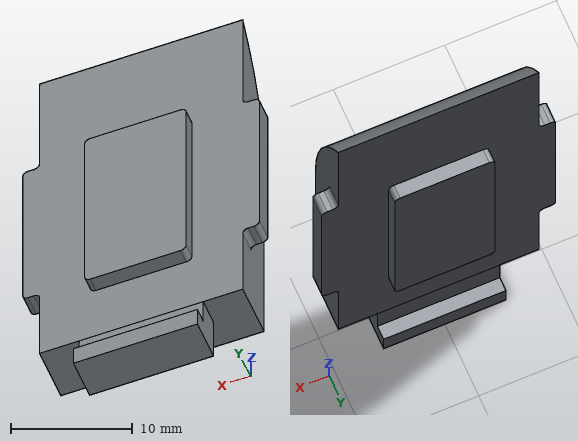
import cadquery as cq
import math

TOTAL_HEIGHT = 40.85
TOTAL_WIDTH = 21.0
TOTAL_DEPTH = 6.0

BOLT_WIDTH = 18.0
BOLT_BOTTOM = 4.55
CURVE_HEIGHT = 13.85
BACK_STEP = 1.25
BOLT_DEPTH = TOTAL_DEPTH - BACK_STEP
CORNER_RADIUS = 0.5

TAB_THICKNESS = 1.85
TAB_HEIGHT = 17.05
TAB_TOP = 29.58

PAD_WIDTH = 9.0
PAD_HEIGHT = 18.95
PAD_TOP = TAB_TOP

FOOT_WIDTH = 11.0
FOOT_THICKNESS = 2.33
HOOK_HEIGHT = 1.95


def make_wedge():
    """Block with a front arc that leaves the flat front face tangentially."""
    curve_start = TOTAL_HEIGHT - CURVE_HEIGHT
    radius = (CURVE_HEIGHT**2 + BOLT_DEPTH**2) / (2 * BOLT_DEPTH)
    half_angle = math.asin(CURVE_HEIGHT / radius) / 2
    arc_middle = (
        -BOLT_DEPTH + radius * (1 - math.cos(half_angle)),
        curve_start + radius * math.sin(half_angle),
    )
    return (
        cq.Workplane("YZ")
        .moveTo(0, BOLT_BOTTOM)
        .lineTo(-BOLT_DEPTH, BOLT_BOTTOM)
        .lineTo(-BOLT_DEPTH, curve_start)
        .threePointArc(arc_middle, (0, TOTAL_HEIGHT))
        .close()
        .extrude(BOLT_WIDTH / 2, both=True)
    )


def make_tab_plate():
    """Plate through the bolt whose ends are the two tabs, blended into the bolt sides."""
    tab_middle = TAB_TOP - TAB_HEIGHT / 2
    core_height = TAB_HEIGHT + 4 * CORNER_RADIUS
    core = cq.Workplane("XY").box(BOLT_WIDTH, TAB_THICKNESS, core_height)
    tabs = cq.Workplane("XY").box(TOTAL_WIDTH, TAB_THICKNESS, TAB_HEIGHT)
    outer_corners = cq.selectors.BoxSelector(
        (-TOTAL_WIDTH, -TAB_THICKNESS, -TAB_HEIGHT / 2 - CORNER_RADIUS),
        (TOTAL_WIDTH, TAB_THICKNESS, TAB_HEIGHT / 2 + CORNER_RADIUS),
    )
    plate = core.union(tabs).edges("|Y").edges(outer_corners).fillet(CORNER_RADIUS)
    return plate.translate((0, -TAB_THICKNESS / 2, tab_middle))


def make_pad():
    """Rounded rectangular pad standing off the back of the bolt."""
    return (
        cq.Workplane("XY")
        .box(PAD_WIDTH, BACK_STEP, PAD_HEIGHT)
        .edges("|Y")
        .fillet(CORNER_RADIUS)
        .translate((0, BACK_STEP / 2, PAD_TOP - PAD_HEIGHT / 2))
    )


def make_bolt():
    """Wedge, side tabs and back pad as one solid."""
    return make_wedge().union(make_tab_plate()).union(make_pad())


def make_foot():
    """L-shaped foot that meets the underside of the bolt, flush with its back."""
    return (
        cq.Workplane("YZ")
        .moveTo(-FOOT_THICKNESS, 0)
        .lineTo(BACK_STEP, 0)
        .lineTo(BACK_STEP, HOOK_HEIGHT)
        .lineTo(0, HOOK_HEIGHT)
        .lineTo(0, BOLT_BOTTOM)
        .lineTo(-FOOT_THICKNESS, BOLT_BOTTOM)
        .close()
        .extrude(FOOT_WIDTH / 2, both=True)
    )


bolt = make_bolt()
foot = make_foot()

result = cq.Compound.makeCompound([bolt.solids().val(), foot.val()])